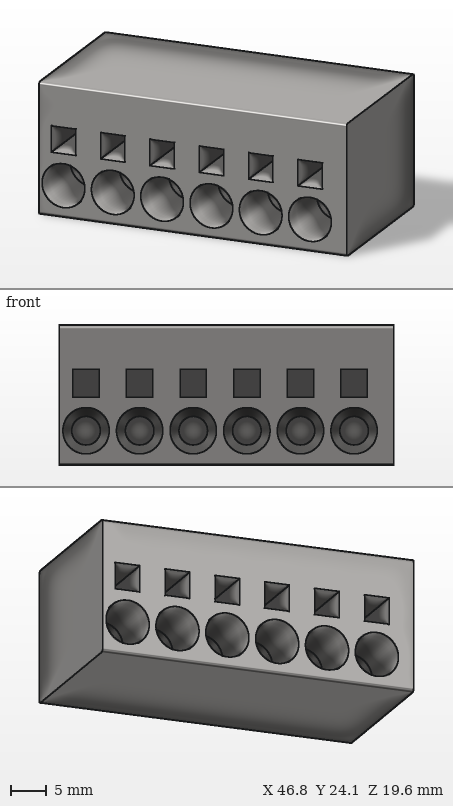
import cadquery as cq

LENGTH = 46.8
DEPTH = 24.15
HEIGHT = 19.6
EDGE_RADIUS = 0.5

POLE_COUNT = 6
PITCH = 7.5
FIRST_POLE_X = PITCH / 2

WIRE_BORE_DIAMETER = 6.5
WIRE_FLOOR_DIAMETER = 4.0
WIRE_BORE_DEPTH = 10.0
WIRE_TAPER_LENGTH = 2.05
WIRE_Z = 4.8

OPENING_WIDTH = 3.7
OPENING_HEIGHT = 3.9
OPENING_DEPTH = 10.0
OPENING_Z = 11.45


def make_housing():
    """Block with its front face on Y = 0 and its four long edges rounded."""
    block = cq.Workplane("XY").box(LENGTH, DEPTH, HEIGHT, centered=False)
    return block.edges("|X").fillet(EDGE_RADIUS)


def make_wire_entry(x):
    """Straight bore from the front face, ending in a short cone with a flat floor."""
    bore_radius = WIRE_BORE_DIAMETER / 2
    floor_radius = WIRE_FLOOR_DIAMETER / 2
    floor_depth = WIRE_BORE_DEPTH + WIRE_TAPER_LENGTH
    profile = (
        cq.Workplane("XY")
        .lineTo(bore_radius, 0)
        .lineTo(bore_radius, WIRE_BORE_DEPTH)
        .lineTo(floor_radius, floor_depth)
        .lineTo(0, floor_depth)
        .close()
    )
    entry = profile.revolve(360, (0, 0, 0), (0, 1, 0))
    return entry.translate((x, 0, WIRE_Z))


def make_release_opening(x):
    """Rectangular pocket that runs straight back from the front face."""
    pocket = cq.Workplane("XY").box(
        OPENING_WIDTH, OPENING_DEPTH, OPENING_HEIGHT, centered=(True, False, True)
    )
    return pocket.translate((x, 0, OPENING_Z))


result = make_housing()
for pole in range(POLE_COUNT):
    pole_x = FIRST_POLE_X + pole * PITCH
    result = result.cut(make_wire_entry(pole_x))
    result = result.cut(make_release_opening(pole_x))